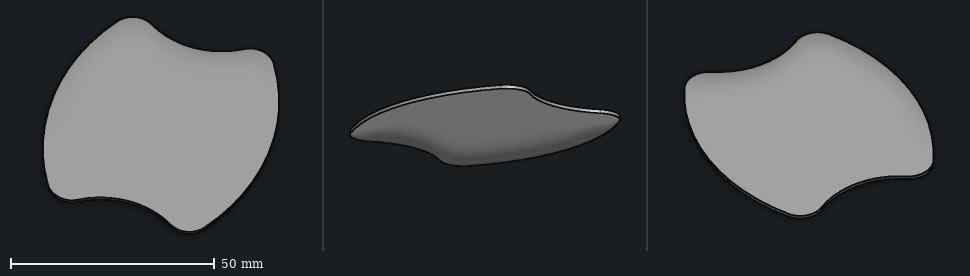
import cadquery as cq
import math

width = 55.85
length = 58.9
thickness = 1.0
waist_length = 49.8
corner_radius = 6.0
corner_x = 15.25

half_width = width / 2
half_waist = waist_length / 2
corner_y = length / 2 - corner_radius

side_inset = half_width - corner_x
side_radius = (side_inset**2 + corner_y**2 - corner_radius**2) / (2 * (side_inset - corner_radius))
side_center_x = half_width - side_radius

waist_rise = half_waist - corner_y
hollow_radius = (corner_x**2 + waist_rise**2 - corner_radius**2) / (2 * (corner_radius - waist_rise))
hollow_center_y = half_waist + hollow_radius

side_angle = math.atan2(corner_y, corner_x - side_center_x)
hollow_angle = math.atan2(hollow_center_y - corner_y, -corner_x)


def corner_point(angle):
    """Point on the +X, +Y corner circle at the given angle from +X."""
    return (corner_x + corner_radius * math.cos(angle), corner_y + corner_radius * math.sin(angle))


side_x, side_y = corner_point(side_angle)
middle_x, middle_y = corner_point((side_angle + hollow_angle) / 2)
hollow_x, hollow_y = corner_point(hollow_angle)

outline = (
    cq.Workplane("XY")
    .moveTo(side_x, -side_y)
    .threePointArc((half_width, 0), (side_x, side_y))
    .threePointArc((middle_x, middle_y), (hollow_x, hollow_y))
    .threePointArc((0, half_waist), (-hollow_x, hollow_y))
    .threePointArc((-middle_x, middle_y), (-side_x, side_y))
    .threePointArc((-half_width, 0), (-side_x, -side_y))
    .threePointArc((-middle_x, -middle_y), (-hollow_x, -hollow_y))
    .threePointArc((0, -half_waist), (hollow_x, -hollow_y))
    .threePointArc((middle_x, -middle_y), (side_x, -side_y))
    .close()
)

result = outline.extrude(thickness)